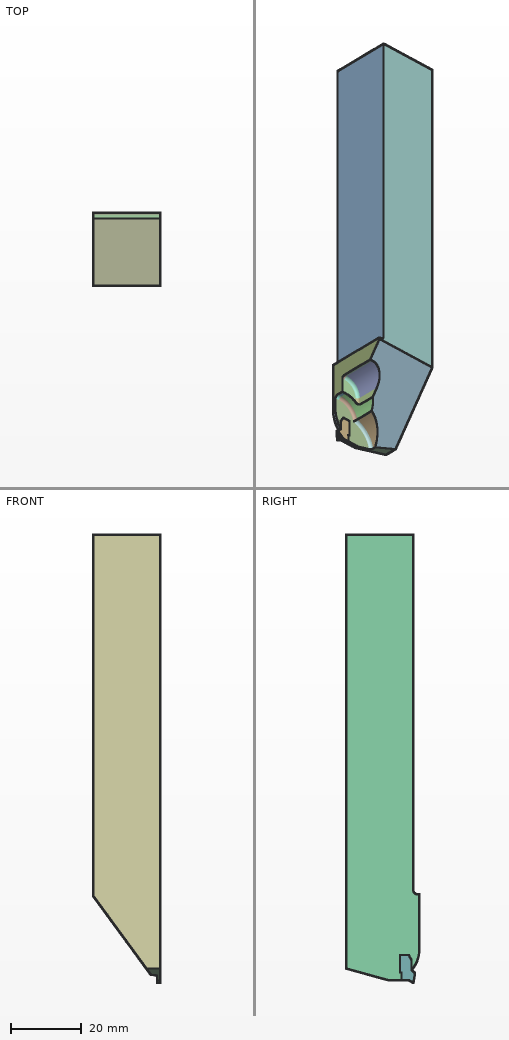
import cadquery as cq
import math


length = 127.0
width = 19.0
shank_depth = 19.0
head_depth = 20.7
shoulder_z = 25.1
shoulder_radius = 1.1

flank_top_z = 24.6
flank_angle = 36.2

end_z = 4.1
heel_y = 12.0
heel_z = 0.8
nose_top_z = 8.6
nose_mid = (20.1, 6.1)
nose_end = (18.5, 3.7)

blade_thickness = 1.0
blade_face_x = width - blade_thickness

upper_floor_x = 15.2
upper_center = (19.7, 14.4)
upper_radius = 5.1

shoulder_center = (19.2, 7.7)
pocket_radius = 6.4
wide_center = (16.0, 0.1)
wide_radius = 9.5
floor_fillet = 0.9

insert_top_z = 8.0
insert_shoulder_z = 6.5
insert_back_y = 15.2
insert_root_y = 15.6
insert_step_z = 3.0
insert_corner_y = 17.7
insert_front_y = 18.5
insert_lip_y = 19.4
tip_y = 19.0
lip_z = 2.9
lip_base_z = 2.2
tip_relief = 0.1

margin = 2.5


def side_profile(start_x):
    """Sketch plane whose local axes are Y and Z, placed at the given X."""
    return cq.Workplane("YZ", origin=(start_x, 0, 0))


def make_insert():
    """Slim cutting insert as thick as the blade, with a pointed and slightly relieved tip at Z = 0."""
    blank = (
        side_profile(blade_face_x)
        .moveTo(insert_root_y, insert_step_z)
        .lineTo(insert_back_y, insert_step_z)
        .lineTo(insert_back_y, insert_top_z)
        .lineTo(insert_corner_y, insert_top_z)
        .lineTo(insert_front_y, insert_shoulder_z)
        .lineTo(*nose_end)
        .lineTo(insert_lip_y, lip_z)
        .lineTo(insert_lip_y, lip_base_z)
        .lineTo(tip_y, 0)
        .lineTo(insert_corner_y, heel_z)
        .lineTo(insert_root_y, heel_z)
        .close()
        .extrude(blade_thickness)
    )
    relief = (
        side_profile(blade_face_x)
        .polyline([(insert_lip_y, lip_base_z), (tip_y, 0), (insert_corner_y, heel_z)])
        .close()
        .extrude(tip_relief)
    )
    return blank.cut(relief)


def make_bar():
    """Square shank with the deeper head, its shoulder fillet and its sloping end."""
    arc_offset = shoulder_radius * (1 - math.sqrt(0.5))
    return (
        side_profile(0)
        .moveTo(0, end_z)
        .lineTo(heel_y, heel_z)
        .lineTo(insert_corner_y, heel_z)
        .lineTo(*nose_end)
        .threePointArc(nose_mid, (head_depth, nose_top_z))
        .lineTo(head_depth, shoulder_z)
        .lineTo(shank_depth + shoulder_radius, shoulder_z)
        .threePointArc(
            (shank_depth + arc_offset, shoulder_z + arc_offset),
            (shank_depth, shoulder_z + shoulder_radius),
        )
        .lineTo(shank_depth, length)
        .lineTo(0, length)
        .close()
        .extrude(width)
    )


def make_flank_cut():
    """Wedge below the slanted flank."""
    flank_run = flank_top_z * math.tan(math.radians(flank_angle))
    return (
        cq.Workplane("XZ", origin=(0, -margin, 0))
        .polyline([(0, flank_top_z), (flank_run, 0), (0, 0)])
        .close()
        .extrude(-(head_depth + 2 * margin))
    )


def make_round_pocket(center, radius, floor_x, bottom_z):
    """Pocket with a quarter-round top corner and a filleted floor, open towards +Y."""
    center_y, center_z = center
    side_y = center_y - radius
    open_y = head_depth + margin
    top_z = center_z + radius
    diagonal = radius * math.sqrt(0.5)
    return (
        side_profile(0)
        .moveTo(open_y, top_z)
        .lineTo(center_y, top_z)
        .threePointArc((center_y - diagonal, center_z + diagonal), (side_y, center_z))
        .lineTo(side_y, bottom_z)
        .lineTo(open_y, bottom_z)
        .close()
        .extrude(floor_x)
        .faces(">X")
        .edges()
        .fillet(floor_fillet)
    )


insert = make_insert()
holder = (
    make_bar()
    .cut(make_flank_cut())
    .cut(make_round_pocket(upper_center, upper_radius, upper_floor_x, shoulder_center[1]))
    .cut(make_round_pocket(shoulder_center, pocket_radius, blade_face_x, -margin))
    .cut(make_round_pocket(wide_center, wide_radius, blade_face_x, -margin))
    .cut(insert)
)

result = cq.Compound.makeCompound([*holder.vals(), insert.val()])